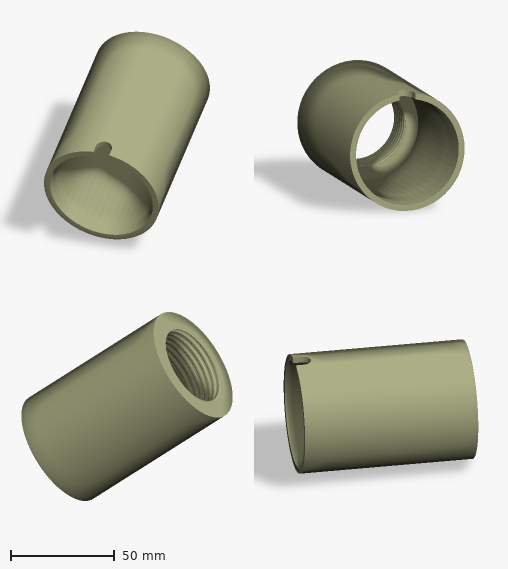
import cadquery as cq
import math

length = 85.0
outer_diameter = 58.0
counterbore_diameter = 52.0

collar_length = 20.0
thread_minor_diameter = 39.0
thread_major_diameter = 42.35
thread_pitch = 3.0
thread_half_angle = 30.0
thread_root_width = 0.2
thread_start_angle = 152.0
cutter_overlap = 0.2

slot_width = 8.0
slot_length = 8.0

counterbore_depth = length - collar_length


def cylinder_along_y(diameter, start, height):
    """Solid cylinder on the Y axis, from Y = start to Y = start + height."""
    plane = cq.Workplane("XZ", origin=(0, start, 0))
    return plane.circle(diameter / 2).extrude(-height)


def make_sleeve():
    """Stepped tube: wide counterbore, then the narrower collar bore."""
    body = cylinder_along_y(outer_diameter, 0, length)
    counterbore = cylinder_along_y(counterbore_diameter, 0, counterbore_depth)
    bore = cylinder_along_y(thread_minor_diameter, 0, length)
    return body.cut(counterbore).cut(bore)


def make_thread_cutter():
    """Right-hand helical groove, one pitch longer than the collar at both ends."""
    root_radius = thread_major_diameter / 2
    inner_radius = thread_minor_diameter / 2 - cutter_overlap
    flank_run = (root_radius - inner_radius) * math.tan(math.radians(thread_half_angle))
    half_root = thread_root_width / 2
    half_mouth = half_root + flank_run
    helix_length = collar_length + 2 * thread_pitch

    helix = cq.Wire.makeHelix(thread_pitch, helix_length, inner_radius)
    groove = (
        cq.Workplane("XZ")
        .moveTo(inner_radius, -half_mouth)
        .lineTo(root_radius, -half_root)
        .lineTo(root_radius, half_root)
        .lineTo(inner_radius, half_mouth)
        .close()
        .sweep(cq.Workplane(helix), isFrenet=True)
    )
    groove = groove.rotate((0, 0, 0), (0, 0, 1), -thread_start_angle)
    groove = groove.rotate((0, 0, 0), (1, 0, 0), -90)
    return groove.translate((0, counterbore_depth - thread_pitch, 0))


def make_slot_cutter():
    """Slot through the upper wall only, open at Y = 0 with a semicircular inner end."""
    half_width = slot_width / 2
    straight_length = slot_length - half_width
    return (
        cq.Workplane("XY")
        .moveTo(-half_width, 0)
        .lineTo(half_width, 0)
        .lineTo(half_width, straight_length)
        .threePointArc((0, slot_length), (-half_width, straight_length))
        .close()
        .extrude(outer_diameter / 2)
    )


threaded_sleeve = make_sleeve().cut(make_thread_cutter())
result = threaded_sleeve.cut(make_slot_cutter())